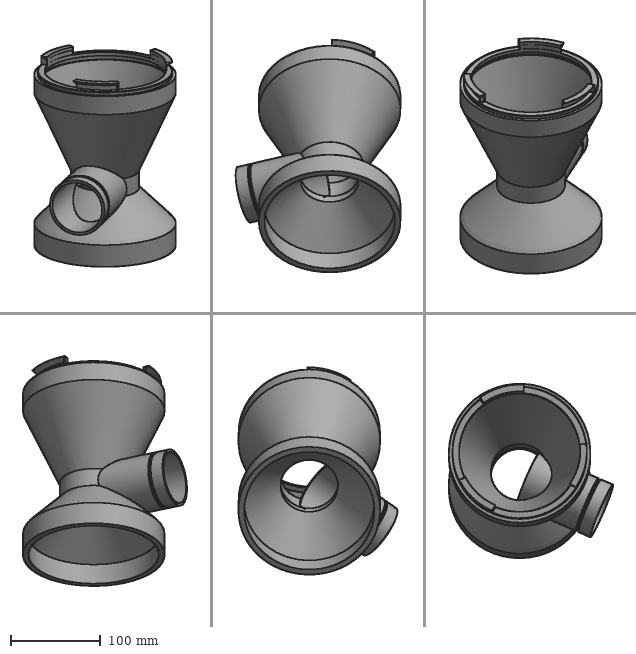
import cadquery as cq
import math

flange_radius = 79.0
mouth_radius = 67.5
neck_outer_radius = 38.0
neck_inner_radius = 32.0
wall = 6.5

skirt_height = 25.6
shoulder_radius = 75.47
apex_height = 105.3
skirt_inner_radius = flange_radius - wall
shoulder_height = apex_height - shoulder_radius
base_top = apex_height - neck_inner_radius
inner_apex_height = apex_height - wall * math.sqrt(2)

neck_outer_bottom = apex_height - neck_outer_radius
neck_outer_top = 88.2
neck_inner_top = 94.8
flange_bottom = 178.5
flange_top = 199.8
funnel_inner_top = 193.9
funnel_mouth_radius = 70.9
recess_radius = 73.0

pipe_outer_radius = 32.0
pipe_inner_radius = 29.0
pipe_axis_height = 74.7
pipe_outer_end = 100.0
pipe_inner_end = 10.0
pipe_length = pipe_outer_end - pipe_inner_end

groove_center = 84.0
groove_floor_radius = 31.0
groove_floor_width = 1.5
groove_mouth_width = 3.5

total_height = 213.5
ring_top = 203.9
step_height = 203.0
step_radius = 74.7
ring_radius = 75.05
tab_wall_radius = 68.7
hook_height = 4.3
tab_span = 40.0
tab_end_angles = (60.0, 180.0, 300.0)
stop_span = 1.0


def revolved(profile, angle=360.0):
    """Turn a closed (radius, height) profile about the Z axis, starting at +X."""
    return cq.Workplane("XZ").polyline(profile).close().revolve(angle, (0, 0, 0), (0, 1, 0))


def along_pipe(solid):
    """Move a solid built along +Z from the origin onto the pipe axis, pointing toward -Y."""
    return solid.rotate((0, 0, 0), (1, 0, 0), 90).translate((0, 0, pipe_axis_height))


def pipe_cylinder(radius):
    return along_pipe(cq.Workplane("XY").workplane(offset=pipe_inner_end).circle(radius).extrude(pipe_length))


def pipe_groove():
    half_floor = groove_floor_width / 2
    half_mouth = groove_mouth_width / 2
    return along_pipe(revolved([
        (groove_floor_radius, groove_center - half_floor),
        (pipe_outer_radius, groove_center - half_mouth),
        (flange_radius, groove_center - half_mouth),
        (flange_radius, groove_center + half_mouth),
        (pipe_outer_radius, groove_center + half_mouth),
        (groove_floor_radius, groove_center + half_floor),
    ]))


def make_base():
    """Hollow skirt with a conical shoulder that carries the housing."""
    return revolved([
        (skirt_inner_radius, 0),
        (flange_radius, 0),
        (flange_radius, skirt_height),
        (shoulder_radius, shoulder_height),
        (neck_inner_radius, base_top),
        (neck_inner_radius, inner_apex_height - neck_inner_radius),
        (skirt_inner_radius, inner_apex_height - skirt_inner_radius),
    ])


def shoulder_cone():
    """Solid truncated cone under the outer surface of the base shoulder."""
    return revolved([
        (0, 0),
        (apex_height, 0),
        (neck_inner_radius, base_top),
        (0, base_top),
    ])


def make_housing():
    """Funnel and neck with a side pipe, resting on the shoulder of the base."""
    shell = revolved([
        (neck_inner_radius, neck_outer_bottom),
        (neck_outer_radius, neck_outer_bottom),
        (neck_outer_radius, neck_outer_top),
        (flange_radius, flange_bottom),
        (flange_radius, flange_top),
        (recess_radius, flange_top),
        (recess_radius, funnel_inner_top),
        (funnel_mouth_radius, funnel_inner_top),
        (neck_inner_radius, neck_inner_top),
    ])
    housing = shell.union(pipe_cylinder(pipe_outer_radius))
    housing = housing.cut(pipe_cylinder(pipe_inner_radius)).cut(pipe_groove())
    return housing.cut(shoulder_cone())


def make_tab(end_angle):
    """Hooked wall segment, closed by a stop at its counterclockwise end."""
    hook = revolved([
        (mouth_radius, ring_top),
        (tab_wall_radius, ring_top),
        (tab_wall_radius, total_height - hook_height),
        (ring_radius, total_height),
        (mouth_radius, total_height),
    ], tab_span).rotate((0, 0, 0), (0, 0, 1), end_angle - tab_span)
    stop = revolved([
        (mouth_radius, ring_top),
        (ring_radius, ring_top),
        (ring_radius, total_height),
        (mouth_radius, total_height),
    ], stop_span).rotate((0, 0, 0), (0, 0, 1), end_angle - stop_span)
    return hook.union(stop)


def make_locking_ring():
    """Stepped ring on the flange with three tabs standing on it."""
    ring = revolved([
        (mouth_radius, flange_top),
        (ring_radius, flange_top),
        (ring_radius, step_height),
        (step_radius, step_height),
        (step_radius, ring_top),
        (mouth_radius, ring_top),
    ])
    for end_angle in tab_end_angles:
        ring = ring.union(make_tab(end_angle))
    return ring


base = make_base()
housing = make_housing()
locking_ring = make_locking_ring()

result = cq.Compound.makeCompound([base.val(), housing.val(), locking_ring.val()])